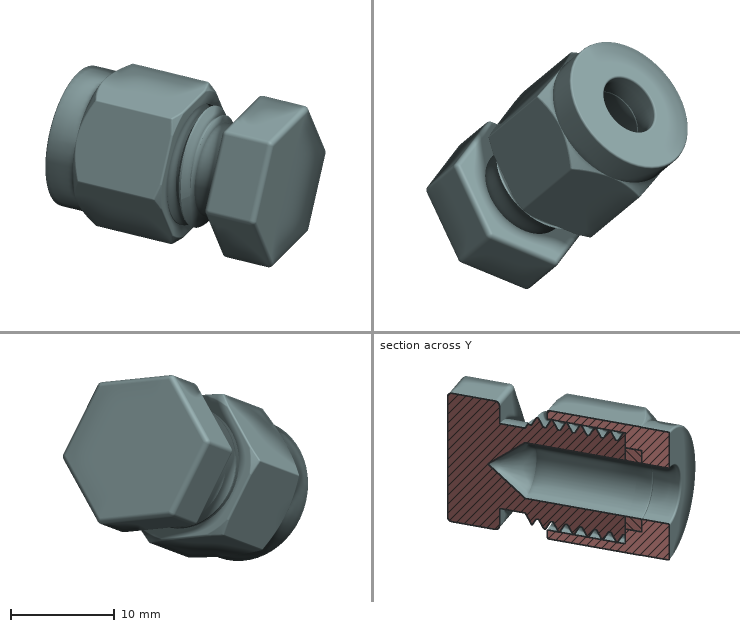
import cadquery as cq
import math


ACROSS_FLATS = 14.0
ACROSS_CORNERS = ACROSS_FLATS / math.cos(math.radians(30))
TUBE_BORE_RADIUS = 3.0

NUT_END = 12.73
COLLAR_RADIUS = 6.98
COLLAR_LENGTH = 2.98
REAR_CHAMFER_ANGLE = 60
REAR_CHAMFER_LENGTH = 0.46
NUT_ROUNDING = 0.2
SHOULDER_ROUNDING = 0.1

FERRULE_START = 2.93
FERRULE_RADIUS = 4.4
FERRULE_ROUNDING = 0.12

PLUG_START = 4.62
STEM_RADIUS = 4.65
HEAD_START = 17.65
PLUG_END = 23.1
HEAD_ROUNDING = 0.5
PLUG_BORE_END = 15.02
DRILL_POINT_ANGLE = 76

THREAD_RADIUS = 6.0
THREAD_ROOT_RADIUS = 5.08
THREAD_PITCH = 1.5
THREAD_CREST_WIDTH = THREAD_PITCH / 8
THREAD_FLANK_ANGLE = 30
THREAD_END = 15.02
THREAD_END_CHAMFER_ANGLE = 60
GROOVE_START = 3.6
GROOVE_TURNS = 8
GROOVE_OVERCUT = 0.23

INNERMOST = cq.selectors.RadiusNthSelector(0)


def turned(points):
    """Solid of revolution about X from (x, radius) points."""
    return cq.Workplane("XY").polyline(points).close().revolve(360, (0, 0, 0), (1, 0, 0))


def cylinder(radius, start, end):
    """Cylinder about X between two X positions."""
    return cq.Workplane("YZ").workplane(offset=start).circle(radius).extrude(end - start)


def hex_bar(start, end, edge_rounding):
    """Hexagonal bar with corners on the Y axis and flats facing Z."""
    bar = cq.Workplane("YZ").workplane(offset=start).polygon(6, ACROSS_CORNERS).extrude(end - start)
    return bar.edges("|X").fillet(edge_rounding)


def nut_exterior():
    """Hexagon chamfered at both ends behind a round collar, with all outer edges rounded."""
    corner_radius = ACROSS_CORNERS / 2
    front_chamfer = corner_radius - COLLAR_RADIUS
    rear_radius = corner_radius - REAR_CHAMFER_LENGTH * math.tan(math.radians(REAR_CHAMFER_ANGLE))
    chamfered_bar = turned(
        [
            (COLLAR_LENGTH, 0),
            (COLLAR_LENGTH, COLLAR_RADIUS),
            (COLLAR_LENGTH + front_chamfer, corner_radius),
            (NUT_END - REAR_CHAMFER_LENGTH, corner_radius),
            (NUT_END, rear_radius),
            (NUT_END, 0),
        ]
    )
    hexagon = hex_bar(COLLAR_LENGTH, NUT_END, NUT_ROUNDING).intersect(chamfered_bar)
    hexagon = hexagon.faces("not <X").edges("not(|X or <X)").fillet(NUT_ROUNDING)
    collar = cylinder(COLLAR_RADIUS, 0, COLLAR_LENGTH).faces("<X").edges().fillet(NUT_ROUNDING)
    return hexagon.union(collar)


def make_nut():
    """Nut with a tube bore, a recess for the ferrule and a bore over the thread crests."""
    nut = nut_exterior()
    nut = nut.cut(cylinder(THREAD_RADIUS, PLUG_START, NUT_END))
    nut = nut.cut(cylinder(FERRULE_RADIUS, FERRULE_START, PLUG_START))
    nut = nut.cut(cylinder(TUBE_BORE_RADIUS, 0, FERRULE_START))
    nut = nut.faces("<X").edges(INNERMOST).fillet(NUT_ROUNDING)
    shoulder = nut.faces(cq.selectors.NearestToPointSelector((FERRULE_START, 0, 0)))
    return shoulder.edges(INNERMOST).fillet(SHOULDER_ROUNDING)


def make_ferrule():
    """Ring around the tube, rounded at the inner edge that faces the nut shoulder."""
    ring = cylinder(FERRULE_RADIUS, FERRULE_START, PLUG_START)
    ring = ring.cut(cylinder(TUBE_BORE_RADIUS, FERRULE_START, PLUG_START))
    return ring.faces("<X").edges(INNERMOST).fillet(FERRULE_ROUNDING)


def helix_edge(radius, start):
    """Right-handed helix about X that starts at X = start on the +Y side."""
    helix = cq.Wire.makeHelix(THREAD_PITCH, GROOVE_TURNS * THREAD_PITCH, radius)
    return helix.rotate(cq.Vector(0, 0, 0), cq.Vector(1, 1, 1), 120).translate(cq.Vector(start, 0, 0))


def section_face(section, x):
    """Flat face from (X offset, radius) points, in the XY plane."""
    corners = [cq.Vector(x + offset, radius, 0) for offset, radius in section]
    return cq.Face.makeFromWires(cq.Wire.makePolygon(corners, close=True))


def thread_groove():
    """Helical cutter with a V-shaped section and a narrow flat at the thread root."""
    flank_slope = math.tan(math.radians(THREAD_FLANK_ANGLE))
    depth = THREAD_RADIUS - THREAD_ROOT_RADIUS
    root_half = (THREAD_PITCH - THREAD_CREST_WIDTH) / 2 - depth * flank_slope
    outer_radius = THREAD_RADIUS + GROOVE_OVERCUT
    outer_half = root_half + (outer_radius - THREAD_ROOT_RADIUS) * flank_slope
    section = [
        (-root_half, THREAD_ROOT_RADIUS),
        (-outer_half, outer_radius),
        (outer_half, outer_radius),
        (root_half, THREAD_ROOT_RADIUS),
    ]
    end_x = GROOVE_START + GROOVE_TURNS * THREAD_PITCH
    helices = [helix_edge(radius, GROOVE_START + offset) for offset, radius in section]
    sides = [cq.Face.makeRuledSurface(helices[i - 1], helices[i]) for i in range(len(section))]
    ends = [section_face(section, x) for x in (GROOVE_START, end_x)]
    return cq.Workplane(cq.Solid.makeSolid(cq.Shell.makeShell(sides + ends)))


def threaded_shank():
    """Threaded length, chamfered down to the plain stem that carries the head."""
    chamfer_height = THREAD_RADIUS - STEM_RADIUS
    chamfer_length = chamfer_height / math.tan(math.radians(THREAD_END_CHAMFER_ANGLE))
    shank = turned(
        [
            (PLUG_START, 0),
            (PLUG_START, THREAD_RADIUS),
            (THREAD_END - chamfer_length, THREAD_RADIUS),
            (THREAD_END, STEM_RADIUS),
            (HEAD_START, STEM_RADIUS),
            (HEAD_START, 0),
        ]
    )
    return shank.cut(thread_groove())


def plug_bore():
    """Blind tube bore with a conical bottom."""
    point_length = TUBE_BORE_RADIUS / math.tan(math.radians(DRILL_POINT_ANGLE / 2))
    return turned(
        [
            (PLUG_START, 0),
            (PLUG_START, TUBE_BORE_RADIUS),
            (PLUG_BORE_END, TUBE_BORE_RADIUS),
            (PLUG_BORE_END + point_length, 0),
        ]
    )


def make_plug():
    """Hexagon-headed plug that screws into the nut and closes the tube."""
    head = hex_bar(HEAD_START, PLUG_END, HEAD_ROUNDING)
    head = head.faces("<X or >X").edges().fillet(HEAD_ROUNDING)
    return threaded_shank().union(head).cut(plug_bore())


nut = make_nut().solids()
ferrule = make_ferrule().solids()
plug = make_plug().solids()

result = cq.Compound.makeCompound([nut.val(), ferrule.val(), plug.val()])